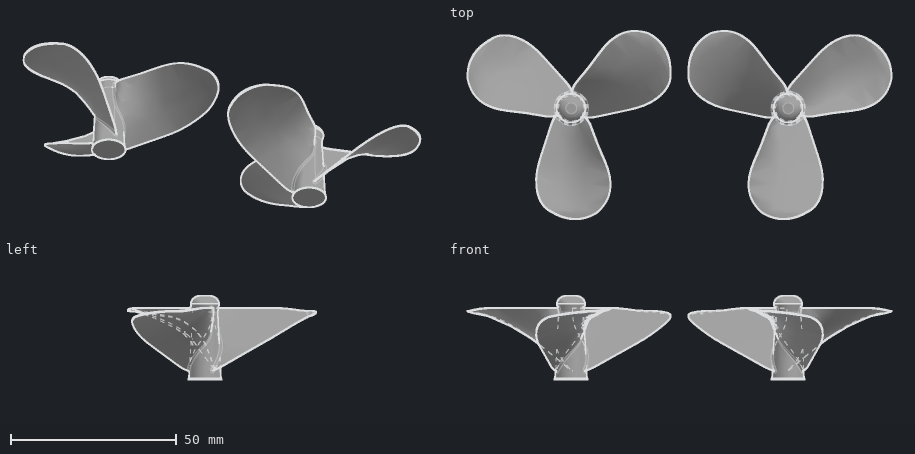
import cadquery as cq
import math

HUB_OFFSET = 32.7
BLADE_COUNT = 3

HUB_HEIGHT = 25.3
HUB_SEAM_ANGLE = 90
FOOT_RADIUS = 5.1
FOOT_HEIGHT = 0.4
BARREL_BOTTOM_RADIUS = 4.9
BARREL_TOP_RADIUS = 3.8
CAP_RADIUS = 4.3
CAP_BOTTOM = 20.5
CAP_RIM = 22.9
CAP_FLAT_RADIUS = 1.7
CAP_SHOULDER = (3.5, 24.5)

ROOT_THICKNESS = 1.2
TIP_THICKNESS = 0.4
EDGE_THICKNESS = 0.3
ROOT_FILLET = 0.6
ROOT_THICKNESS_DIRECTION = cq.Vector(-0.9, 0, 0.45)
TIP_THICKNESS_DIRECTION = cq.Vector(-0.3, -0.5, 0.8)
CHORD_STEPS = 8
SURFACE_TOLERANCE = 0.02

BLADE_SECTIONS = [
    ((-3.8, -1.3, 2.4), (2.5, -1.7, 10.2), (3.0, -2.0, 21.6)),
    ((-5.4, -3.6, 3.2), (4.3, -3.6, 10.9), (5.0, -3.6, 21.6)),
    ((-7.3, -9.0, 6.3), (2.0, -9.0, 12.5), (7.3, -9.0, 21.6)),
    ((-9.2, -14.8, 9.6), (1.2, -14.8, 15.1), (9.7, -14.8, 21.6)),
    ((-10.5, -21.1, 13.2), (1.0, -22.0, 17.1), (11.8, -21.1, 21.6)),
    ((-9.7, -26.8, 16.6), (1.3, -28.9, 19.4), (11.2, -26.8, 21.1)),
    ((-6.0, -31.2, 19.0), (1.3, -35.7, 20.5), (7.9, -31.5, 20.7)),
]


def section_point(section, u):
    """Point on a blade section, from the leading edge (u = 0) to the trailing edge (u = 1)."""
    leading, camber, trailing = (cq.Vector(*point) for point in section)
    return leading * (1 - u) ** 2 + camber * (2 * u * (1 - u)) + trailing * u**2


def blade_face(side):
    """Upper (side = 1) or lower (side = -1) face of the blade."""
    rows = []
    for index, section in enumerate(BLADE_SECTIONS):
        s = index / (len(BLADE_SECTIONS) - 1)
        mid_thickness = ROOT_THICKNESS * (1 - s) + TIP_THICKNESS * s
        direction = (ROOT_THICKNESS_DIRECTION * (1 - s) + TIP_THICKNESS_DIRECTION * s).normalized()
        row = []
        for step in range(CHORD_STEPS + 1):
            u = step / CHORD_STEPS
            thickness = EDGE_THICKNESS + (mid_thickness - EDGE_THICKNESS) * 4 * u * (1 - u)
            row.append(section_point(section, u) + direction * (side * thickness / 2))
        rows.append(row)
    return cq.Face.makeSplineApprox(rows, tol=SURFACE_TOLERANCE, minDeg=3, maxDeg=6)


def make_blade():
    """Twisted blade closed by narrow ruled faces around its edge."""
    upper = blade_face(1)
    lower = blade_face(-1)
    faces = [upper, lower]
    for upper_edge in upper.Edges():
        lower_edge = min(lower.Edges(), key=lambda e: (e.Center() - upper_edge.Center()).Length)
        faces.append(cq.Face.makeRuledSurface(upper_edge, lower_edge))
    return cq.Solid.makeSolid(cq.Shell.makeShell(faces)).fix()


def make_hub():
    """Tapered barrel with a flared foot and a domed cap."""
    return (
        cq.Workplane("XZ")
        .lineTo(FOOT_RADIUS, 0)
        .lineTo(BARREL_BOTTOM_RADIUS, FOOT_HEIGHT)
        .lineTo(BARREL_TOP_RADIUS, CAP_BOTTOM)
        .lineTo(CAP_RADIUS, CAP_RIM)
        .threePointArc(CAP_SHOULDER, (CAP_FLAT_RADIUS, HUB_HEIGHT))
        .lineTo(0, HUB_HEIGHT)
        .close()
        .revolve(360, (0, 0, 0), (0, 1, 0))
    )


def root_edges(blade_on_hub):
    """Edges where the blade surfaces meet the hub."""
    samples = (0.1, 0.3, 0.5, 0.7, 0.9)

    def lies_on_hub(edge):
        points = [edge.positionAt(t) for t in samples]
        return max(math.hypot(point.x, point.y) for point in points) < FOOT_RADIUS

    return [edge for edge in blade_on_hub.Edges() if edge.geomType() == "BSPLINE" and lies_on_hub(edge)]


def make_bladed_hub():
    """Hub with a single blade, blended together at the root."""
    hub = make_hub().rotate((0, 0, 0), (0, 0, 1), HUB_SEAM_ANGLE)
    blade_on_hub = hub.union(cq.Workplane(make_blade())).val()
    return cq.Workplane(blade_on_hub.fillet(ROOT_FILLET, root_edges(blade_on_hub)))


def make_propeller():
    """Hub and blades as one solid, on the Z axis."""
    bladed_hub = make_bladed_hub()
    propeller = bladed_hub
    for index in range(1, BLADE_COUNT):
        angle = index * 360 / BLADE_COUNT
        propeller = propeller.union(bladed_hub.rotate((0, 0, 0), (0, 0, 1), angle))
    return propeller


left_propeller = make_propeller().translate((-HUB_OFFSET, 0, 0))
right_propeller = left_propeller.mirror("YZ")

result = cq.Compound.makeCompound([left_propeller.val(), right_propeller.val()])